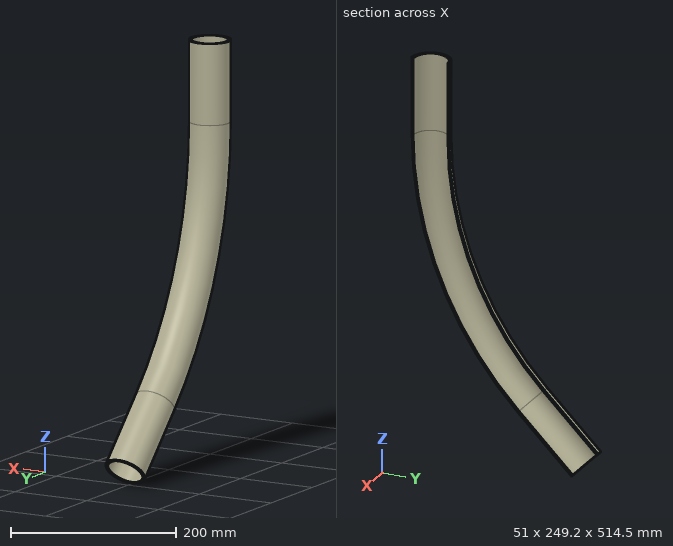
import cadquery as cq
import math

overall_height = 514.5
outer_diameter = 51.0
inner_diameter = 45.0
straight_length = 101.5
bend_angle = 45.0

outer_radius = outer_diameter / 2
sine = math.sin(math.radians(bend_angle))
cosine = math.cos(math.radians(bend_angle))
end_drop = straight_length * cosine + outer_radius * sine
bend_radius = (overall_height - straight_length - end_drop) / sine


def bend_point(angle):
    """Centreline point in (Y, Z) at an angle into the bend, which starts at the origin."""
    turn = math.radians(angle)
    return bend_radius * (1 - math.cos(turn)), -bend_radius * math.sin(turn)


bend_middle = bend_point(bend_angle / 2)
bend_end = bend_point(bend_angle)
lower_end = (
    bend_end[0] + straight_length * sine,
    bend_end[1] - straight_length * cosine,
)
centreline = (
    cq.Workplane("YZ")
    .moveTo(0, straight_length)
    .lineTo(0, 0)
    .threePointArc(bend_middle, bend_end)
    .lineTo(*lower_end)
)

result = (
    cq.Workplane("XY", origin=(0, 0, straight_length))
    .circle(outer_radius)
    .circle(inner_diameter / 2)
    .sweep(centreline)
)